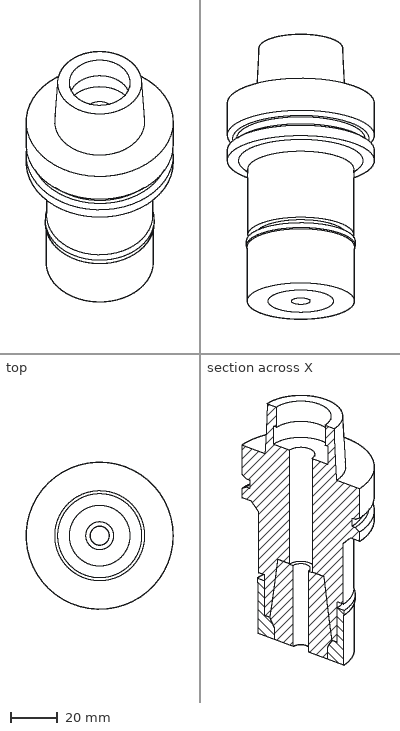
import cadquery as cq
import math


total_height = 115.0
shank_length = 25.0
flange_top = total_height - shank_length
groove_upper_rim = 75.4
groove_ceiling = 74.0
groove_floor = 70.2
groove_lower_rim = 68.7
flange_bottom = 63.9
cone_bottom = 60.0
body_bottom = 30.0
nut_top = 27.3
collar_bottom = 25.1
collar_chamfer_bottom = 24.6
neck_bottom = 10.0

flange_diameter = 63.0
shank_top_diameter = 36.0
shank_base_diameter = 38.5
groove_rim_diameter = 58.4
groove_diameter = 55.0
cone_diameter = 53.4
body_diameter = 45.4
neck_diameter = 39.1

socket_diameter = 26.0
undercut_diameter = 29.0
socket_lip_depth = 10.0
socket_depth = 18.7
coolant_diameter = 12.0

nut_diameter = 46.0
collar_diameter = 46.7

collet_diameter = 32.9
collet_nose_diameter = 28.1
collet_bore_diameter = 8.0
collet_top = 40.0
collet_taper_angle = 8.0
nose_angle = 30.0

collet_radius = collet_diameter / 2
nose_radius = collet_nose_diameter / 2
collet_top_radius = collet_radius - (collet_top - neck_bottom) * math.tan(math.radians(collet_taper_angle))
nose_top = neck_bottom - (collet_radius - nose_radius) / math.tan(math.radians(nose_angle))


def revolve_profile(points):
    """Turn a closed (radius, height) outline around the Z axis."""
    return cq.Workplane("XZ").polyline(points).close().revolve(360, (0, 0, 0), (0, 1, 0))


def cylinder(diameter, bottom, top):
    return cq.Workplane("XY").workplane(offset=bottom).circle(diameter / 2).extrude(top - bottom)


def make_collet_blank():
    """Collet without its bore; also the shape of the seat it fills in the holder and nut."""
    return revolve_profile([
        (0, 0),
        (nose_radius, 0),
        (nose_radius, nose_top),
        (collet_radius, neck_bottom),
        (collet_top_radius, collet_top),
        (0, collet_top),
    ])


def make_holder():
    outside = revolve_profile([
        (0, neck_bottom),
        (neck_diameter / 2, neck_bottom),
        (neck_diameter / 2, body_bottom),
        (body_diameter / 2, body_bottom),
        (body_diameter / 2, cone_bottom),
        (cone_diameter / 2, flange_bottom),
        (flange_diameter / 2, flange_bottom),
        (flange_diameter / 2, groove_lower_rim),
        (groove_rim_diameter / 2, groove_floor),
        (groove_diameter / 2, groove_floor),
        (groove_diameter / 2, groove_ceiling),
        (groove_rim_diameter / 2, groove_ceiling),
        (flange_diameter / 2, groove_upper_rim),
        (flange_diameter / 2, flange_top),
        (shank_base_diameter / 2, flange_top),
        (shank_top_diameter / 2, total_height),
        (0, total_height),
    ])
    undercut_top = total_height - socket_lip_depth
    socket_floor = total_height - socket_depth
    lip = cylinder(socket_diameter, undercut_top, total_height)
    undercut = cylinder(undercut_diameter, socket_floor, undercut_top)
    coolant_hole = cylinder(coolant_diameter, collet_top, socket_floor)
    return outside.cut(lip).cut(undercut).cut(coolant_hole).cut(make_collet_blank())


def make_nut():
    outside = revolve_profile([
        (0, 0),
        (nut_diameter / 2, 0),
        (nut_diameter / 2, collar_chamfer_bottom),
        (collar_diameter / 2, collar_bottom),
        (collar_diameter / 2, nut_top),
        (0, nut_top),
    ])
    neck_bore = cylinder(neck_diameter, neck_bottom, nut_top)
    return outside.cut(neck_bore).cut(make_collet_blank())


def make_collet():
    return make_collet_blank().cut(cylinder(collet_bore_diameter, 0, collet_top))


holder = make_holder()
nut = make_nut()
collet = make_collet()

result = cq.Compound.makeCompound([holder.val(), nut.val(), collet.val()])